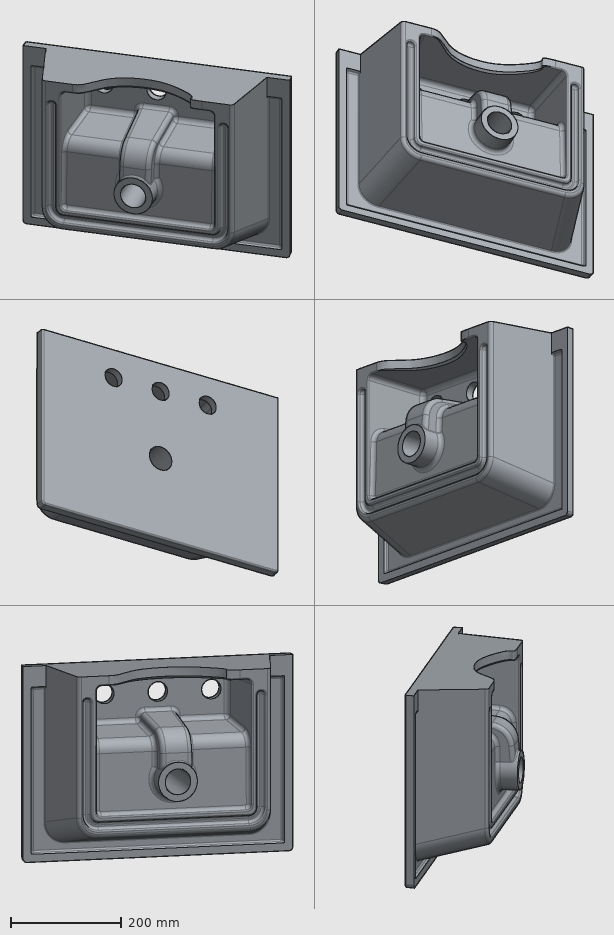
import cadquery as cq
import math


width = 504.2
height = 362.56
flange_thickness = 16.8
flange_corner_radius = 7
flange_draft = 3
flange_edge_radius = 3.4

rim_depth = 141.5
body_base_half_width = 209
body_base_length = 327.5
body_draft = 13
body_corner_radius = 40
body_edge_radius = 8

recess_border = 15
recess_top = -38.5
recess_depth = 6
recess_corner_radius = 3.5
recess_draft = 30
recess_fillet = 4
body_root_fillet = 2

cavity_half_width = 145.5
cavity_top = 18
cavity_bottom = 260.5
cavity_draft = 6
cavity_top_draft = 2.5
deck_depth = 16
cavity_corner_radius = 10
cavity_floor_radius = 10
rim_fillet = 2.5

bowl_wall_draft = 6
bowl_shoulder_radius = 25
bowl_front_depth = 128
bowl_front_z = -146
bowl_front_slope = 1.7
bowl_floor_radius = 8
deck_lower_limit = -110

channel_wall_draft = 6
channel_shoulder_radius = 45
channel_front_depth = 161
channel_front_z = -144.4
channel_front_slope = 5
channel_half_width = 34.5
channel_side_draft = 1.8
channel_edge_radius = 9

outlet_depth = 169.36
outlet_z = -196.5
outlet_radius = 36.3
outlet_draft = 1
outlet_bore_radius = 23.8
outlet_root_fillet = 8
throat_fillet = 2.5

tap_hole_radius = 18
tap_hole_pitch = 100
tap_hole_z = -57.5

groove_half_width = 7.5
groove_line_half_width = 162.6
groove_line_bottom = -278
groove_line_corner_radius = 22
groove_top = -41
groove_depth = 9.2
groove_floor_radius = 6
groove_edge_radius = 3

arch_crown_depth = 85.2
arch_half_width = 122.5
arch_flank = (100, 133)
arch_haunch = (70, 105.3)
arch_cut_length = 30
arch_bevel_z = -16.5
arch_bevel = 6

selection_margin = 1


def slope(angle):
    return math.tan(math.radians(angle))


def drafted_block(back, front):
    """Flat-sided block between two rectangles given as (depth, half width, top, bottom)."""
    back_depth, back_half_width, back_top, back_bottom = back
    front_depth, front_half_width, front_top, front_bottom = front
    plan = [
        (-back_half_width, -back_depth),
        (back_half_width, -back_depth),
        (front_half_width, -front_depth),
        (-front_half_width, -front_depth),
    ]
    section = [
        (-back_depth, back_top),
        (-back_depth, back_bottom),
        (-front_depth, front_bottom),
        (-front_depth, front_top),
    ]
    across = cq.Workplane("XY").polyline(plan).close().extrude(height, both=True)
    along = cq.Workplane("YZ").polyline(section).close().extrude(width, both=True)
    return across.intersect(along)


def edges_in_box(low, high):
    """Selector for the edges lying wholly inside a box."""
    return cq.selectors.BoxSelector(low, high, boundingbox=True)


def make_flange():
    shrink = flange_thickness * slope(flange_draft)
    front = (flange_thickness, width / 2, 0, -height)
    back = (0, width / 2 - shrink, 0, -height + shrink)
    plate = drafted_block(back, front)
    plate = plate.edges("not(#Y or |X or |Z)").edges("<Z").fillet(flange_corner_radius)
    return plate.faces(">Y").edges("not >Z").fillet(flange_edge_radius)


def make_recess():
    half_width = width / 2 - recess_border
    bottom = -height + recess_border
    floor_depth = flange_thickness - recess_depth
    inset = recess_depth * slope(recess_draft)
    pocket = drafted_block(
        (floor_depth, half_width - inset, recess_top - inset, bottom + inset),
        (flange_thickness, half_width, recess_top, bottom),
    )
    pocket = pocket.edges("not(#Y or |X or |Z)").fillet(recess_corner_radius)
    return pocket.faces(">Y").edges().fillet(recess_fillet)


def make_body():
    foot_depth = flange_thickness - recess_depth
    foot_growth = recess_depth * slope(body_draft)
    rim_shrink = (rim_depth - flange_thickness) * slope(body_draft)
    foot = (foot_depth, body_base_half_width + foot_growth, 0, -body_base_length - foot_growth)
    rim = (rim_depth, body_base_half_width - rim_shrink, 0, -body_base_length + rim_shrink)
    block = drafted_block(foot, rim)
    block = block.edges("not(#Y or |X or |Z)").edges("<Z").fillet(body_corner_radius)
    return block.faces("<Y").edges("not >Z").fillet(body_edge_radius)


def shouldered_block(wall_draft, radius, front_depth, front_z, front_slope, bottom_z, half_width):
    """Block constant across X: a drafted wall facing up, a shoulder arc and a sloping front face."""
    wall = math.radians(wall_draft)
    front = math.radians(front_slope)
    bottom_depth = front_depth + (front_z - bottom_z) * math.tan(front)
    centre_z = front_z - radius * math.sin(front)
    centre_depth = front_depth - radius * math.cos(front)

    def on_shoulder(angle):
        return (-centre_depth - radius * math.cos(angle), centre_z + radius * math.sin(angle))

    wall_end = on_shoulder(math.pi / 2 - wall)
    middle = on_shoulder((math.pi / 2 - wall + front) / 2)
    wall_foot_z = wall_end[1] - wall_end[0] * math.tan(wall)
    profile = (
        cq.Workplane("YZ")
        .moveTo(0, bottom_z)
        .lineTo(0, wall_foot_z)
        .lineTo(*wall_end)
        .threePointArc(middle, on_shoulder(front))
        .lineTo(-bottom_depth, bottom_z)
        .close()
    )
    return profile.extrude(half_width, both=True)


def make_bowl():
    return shouldered_block(
        bowl_wall_draft,
        bowl_shoulder_radius,
        bowl_front_depth,
        bowl_front_z,
        bowl_front_slope,
        -height,
        width / 2,
    )


def make_channel():
    block = shouldered_block(
        channel_wall_draft,
        channel_shoulder_radius,
        channel_front_depth,
        channel_front_z,
        channel_front_slope,
        outlet_z,
        channel_half_width,
    )
    front_half_width = channel_half_width - outlet_depth * slope(channel_side_draft)
    block = block.intersect(
        drafted_block((0, channel_half_width, 0, -height), (outlet_depth, front_half_width, 0, -height))
    )
    return block.edges("not(|X or >Y or <Z)").fillet(channel_edge_radius)


def make_outlet():
    base_radius = outlet_radius + outlet_depth * slope(outlet_draft)
    centre = cq.Vector(0, 0, outlet_z)
    cone = cq.Solid.makeCone(base_radius, outlet_radius, outlet_depth, centre, cq.Vector(0, -1, 0))
    return cq.Workplane(cone)


def make_cavity(plug):
    """Space inside the rim: deep over the deck, shallow over the bowl."""
    run = rim_depth - deck_depth
    side_shrink = run * slope(cavity_draft)
    top_shrink = run * slope(cavity_top_draft)
    rim = (rim_depth, cavity_half_width, -cavity_top, -cavity_bottom)
    deck = (
        deck_depth,
        cavity_half_width - side_shrink,
        -cavity_top - top_shrink,
        -cavity_bottom + side_shrink,
    )
    cavity = drafted_block(deck, rim)
    cavity = cavity.edges("not(#Y or |X or |Z)").fillet(cavity_corner_radius)
    cavity = cavity.cut(make_bowl())

    behind_rim = -rim_depth + selection_margin
    below_deck = edges_in_box((-width, behind_rim, -height), (width, 0, deck_lower_limit))
    cavity = cavity.edges(below_deck).edges("not >Y").fillet(bowl_floor_radius)
    cavity = cavity.faces(">Y").edges().fillet(cavity_floor_radius)

    cavity = cavity.cut(plug)
    reach = outlet_radius + outlet_root_fillet
    roots = edges_in_box((-reach, behind_rim, outlet_z - reach), (reach, 0, 0))
    return cavity.edges(roots).fillet(outlet_root_fillet)


def round_body_root(part):
    """Fillet between the body walls and the recess floor."""
    half_width = width / 2 - recess_border - recess_depth * slope(recess_draft) - recess_fillet
    floor_depth = flange_thickness - recess_depth
    roots = edges_in_box(
        (-half_width, -floor_depth - selection_margin, -height + recess_border + recess_fillet * 2),
        (half_width, -floor_depth + selection_margin, 0),
    )
    return part.edges(roots).fillet(body_root_fillet)


def round_cavity_mouth(part):
    reach = cavity_half_width + selection_margin
    mouth = edges_in_box(
        (-reach, -rim_depth - selection_margin, -cavity_bottom - selection_margin),
        (reach, -rim_depth + selection_margin, -cavity_top + selection_margin),
    )
    return part.edges(mouth).fillet(rim_fillet)


def round_throat(plug):
    """Fillet where the channel runs into the outlet stub."""
    seam = edges_in_box(
        (-outlet_radius, -outlet_depth + selection_margin, outlet_z + selection_margin),
        (outlet_radius, 0, outlet_z + outlet_radius + selection_margin),
    )
    return plug.edges(seam).fillet(throat_fillet)


def round_groove_rim(part):
    """Fillet along the whole rim of the groove; its edges are tangent to one another."""
    outer_x = groove_line_half_width + groove_half_width
    start = (outer_x, -rim_depth, (groove_top + groove_line_bottom) / 2)
    return part.edges(cq.selectors.NearestToPointSelector(start)).fillet(groove_edge_radius)


def make_groove():
    """Rounded groove following the lower three sides of the rim, with round upper ends."""
    bend = groove_line_corner_radius
    lower_z = groove_line_bottom + bend
    inner_x = groove_line_half_width - bend
    upper_z = groove_top - groove_half_width
    diagonal = bend * math.sqrt(0.5)
    line = (
        cq.Workplane("XZ", origin=(0, -rim_depth, 0))
        .moveTo(-groove_line_half_width, upper_z)
        .lineTo(-groove_line_half_width, lower_z)
        .threePointArc((-inner_x - diagonal, lower_z - diagonal), (-inner_x, groove_line_bottom))
        .lineTo(inner_x, groove_line_bottom)
        .threePointArc((inner_x + diagonal, lower_z - diagonal), (groove_line_half_width, lower_z))
        .lineTo(groove_line_half_width, upper_z)
    )
    groove = line.offset2D(groove_half_width).extrude(-groove_depth)
    return groove.faces(">Y").edges().fillet(groove_floor_radius)


def make_arch_cuts():
    """Curved scoop through the upper wall, running tangentially into the rim, bevelled inside."""
    diagonal = math.sqrt(0.5)

    def outline(z, growth):
        half = [
            (arch_half_width + growth, rim_depth),
            (arch_flank[0] + growth * diagonal, arch_flank[1] - growth * diagonal),
            (arch_haunch[0] + growth * diagonal, arch_haunch[1] - growth * diagonal),
        ]
        left = [(-x, -depth) for x, depth in half]
        crown = (0, growth - arch_crown_depth)
        right = [(x, -depth) for x, depth in reversed(half)]
        plane = cq.Workplane("XY", origin=(0, 0, z))
        return plane.spline(left + [crown] + right, tangents=[(1, 0), (1, 0)]).close()

    scoop = outline(0, 0).extrude(-arch_cut_length)
    wires = [outline(arch_bevel_z, 0).val(), outline(arch_bevel_z - arch_bevel, arch_bevel).val()]
    flare = cq.Workplane(cq.Solid.makeLoft(wires, True))
    return [scoop, flare]


def make_bores():
    holes = cq.Workplane("XZ").pushPoints([(i * tap_hole_pitch, tap_hole_z) for i in (-1, 0, 1)])
    holes = holes.circle(tap_hole_radius).extrude(rim_depth)
    drain = cq.Workplane("XZ").center(0, outlet_z).circle(outlet_bore_radius).extrude(outlet_depth)
    return holes.union(drain)


plug = round_throat(make_channel().union(make_outlet()))
result = round_body_root(make_flange().cut(make_recess()).union(make_body()))
result = round_cavity_mouth(result.cut(make_cavity(plug)).union(plug))
for arch_tool in make_arch_cuts():
    result = result.cut(arch_tool)
result = round_groove_rim(result.cut(make_groove()))
result = result.cut(make_bores())